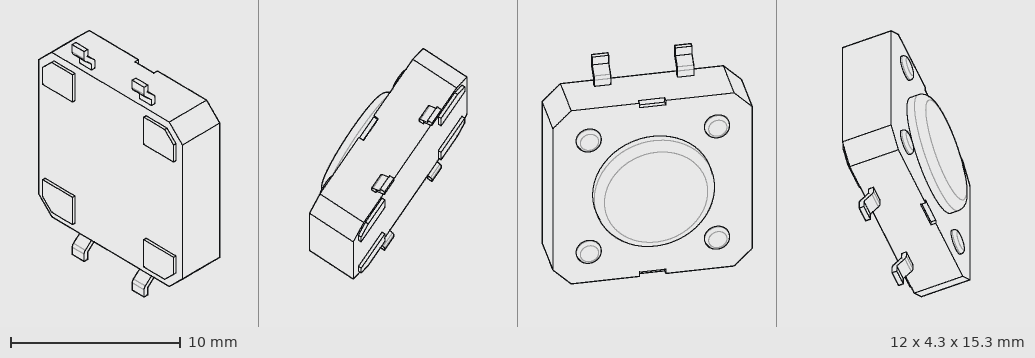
import cadquery as cq
import math

overall_height = 15.3
body_side = 12.0
body_depth = 3.1
body_corner = 1.1

pad_width = 2.5
pad_height = 1.99
pad_thickness = 0.2
pad_inset = 0.54
pad_corner = 0.75

button_radius = 3.61
button_height = 1.0
button_fillet = 0.5
boss_radius = 0.75
boss_height = 0.29
boss_fillet = 0.2
boss_offset = 3.85

notch_width = 1.58
notch_depth = 0.3

leg_width = 1.0
leg_thickness = 0.3
leg_pitch = 5.0
leg_setback = 0.41
leg_straight = 0.43
leg_bend_angle = math.radians(48)

half_side = body_side / 2


def make_body():
    block = cq.Workplane("XY").box(body_side, body_depth, body_side, centered=(True, False, True))
    return block.edges("|Y").chamfer(body_corner)


def make_pad(x_side, z_side):
    """Pad in one corner of the back face, with its outermost corner cut off."""
    outer_x = x_side * (half_side - pad_inset)
    outer_z = z_side * (half_side - pad_inset)
    inner_x = outer_x - x_side * pad_width
    inner_z = outer_z - z_side * pad_height
    outline = [
        (inner_x, inner_z),
        (outer_x, inner_z),
        (outer_x, outer_z - z_side * pad_corner),
        (outer_x - x_side * pad_corner, outer_z),
        (inner_x, outer_z),
    ]
    return cq.Workplane("XZ").polyline(outline).close().extrude(pad_thickness)


def make_disc(x, z, radius, height, fillet):
    """Disc standing on the front face with a rounded rim."""
    front_face = cq.Workplane("XZ", origin=(x, body_depth, z))
    return front_face.circle(radius).extrude(-height).faces(">Y").edges().fillet(fillet)


def make_notch(z_side):
    centre_y = body_depth - notch_depth / 2
    centre_z = z_side * (half_side - notch_depth / 2)
    block = cq.Workplane("XY").box(notch_width, notch_depth, notch_depth)
    return block.translate((0, centre_y, centre_z))


def make_top_leg(x):
    """Leg rising from the top side; each bend has a sharp inside and a round outside."""
    sin_bend = math.sin(leg_bend_angle)
    cos_bend = math.cos(leg_bend_angle)
    sin_half = math.sin(leg_bend_angle / 2)
    cos_half = math.cos(leg_bend_angle / 2)
    tip_z = overall_height / 2

    lower_y = leg_setback
    lower_z = half_side + leg_straight
    upper_y = leg_thickness - pad_thickness
    bend_rise = (leg_thickness + (lower_y - upper_y) * cos_bend) / sin_bend
    upper_z = lower_z + bend_rise

    profile = (
        cq.Workplane("YZ", origin=(x - leg_width / 2, 0, 0))
        .moveTo(lower_y, half_side)
        .lineTo(lower_y, lower_z)
        .lineTo(upper_y - leg_thickness * cos_bend, upper_z - leg_thickness * sin_bend)
        .threePointArc(
            (upper_y - leg_thickness * cos_half, upper_z - leg_thickness * sin_half),
            (upper_y - leg_thickness, upper_z),
        )
        .lineTo(upper_y - leg_thickness, tip_z)
        .lineTo(upper_y, tip_z)
        .lineTo(upper_y, upper_z)
        .lineTo(lower_y + leg_thickness * cos_bend, lower_z + leg_thickness * sin_bend)
        .threePointArc(
            (lower_y + leg_thickness * cos_half, lower_z + leg_thickness * sin_half),
            (lower_y + leg_thickness, lower_z),
        )
        .lineTo(lower_y + leg_thickness, half_side)
        .close()
    )
    return profile.extrude(leg_width)


result = make_body()
result = result.union(make_disc(0, 0, button_radius, button_height, button_fillet))

for z_side in (-1, 1):
    result = result.cut(make_notch(z_side))
    for x_side in (-1, 1):
        result = result.union(make_pad(x_side, z_side))
        boss = make_disc(x_side * boss_offset, z_side * boss_offset, boss_radius, boss_height, boss_fillet)
        result = result.union(boss)

for x_side in (-1, 1):
    top_leg = make_top_leg(x_side * leg_pitch / 2)
    result = result.union(top_leg).union(top_leg.mirror("XY"))